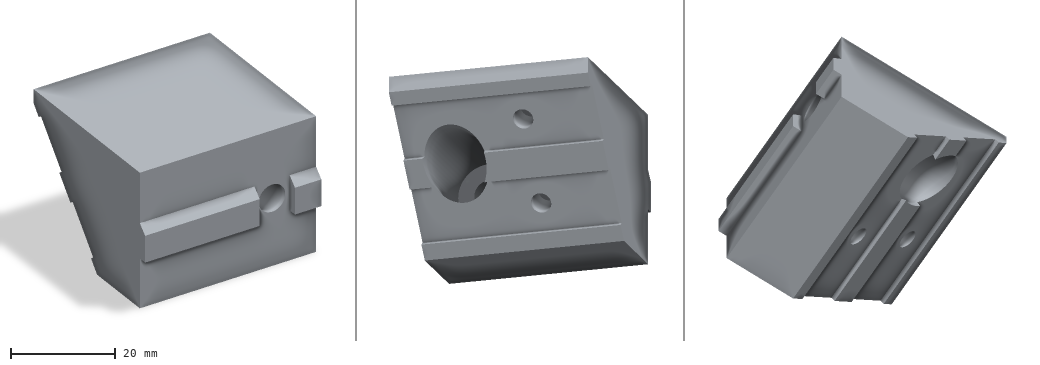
import cadquery as cq
import math

overall_length = 39.65
width = 40.0
height = 30.0
back_tongue_depth = 1.9
back_x = overall_length - back_tongue_depth

slope_angle = math.radians(50)
front_lip_height = 3.1
slope_top_z = height - front_lip_height
slope_length = slope_top_z / math.sin(slope_angle)

first_channel_start = 2.8
channel_pitch = 17.5
channel_width = 11.45
channel_depth = 0.95
first_channel_center = first_channel_start + channel_width / 2
channel_centers = [first_channel_center, first_channel_center + channel_pitch]

tongue_bottom_z = 11.05
tongue_flat_height = 5.9
tongue_gap = 8.0

bolt_y = 10.0
bolt_z = height / 2
bolt_diameter = 6.0
head_diameter = 12.5
head_floor_x = 31.75

pin_hole_y = -5.0
pin_hole_diameter = 4.0
pin_hole_depth = 6.0


def slope_point(along, depth):
    """XZ point at a distance down the slope and a depth below its surface."""
    x = along * math.cos(slope_angle) + depth * math.sin(slope_angle)
    z = slope_top_z - along * math.sin(slope_angle) + depth * math.cos(slope_angle)
    return (x, z)


def extrude_across(points, length, center_y=0.0):
    """Extrude an XZ outline symmetrically about a given Y."""
    plane = cq.Workplane("XZ", origin=(0, center_y, 0))
    return plane.polyline(points).close().extrude(length / 2, both=True)


def make_block():
    outline = [(0, height), (0, slope_top_z)]
    for center in channel_centers:
        start = center - channel_width / 2
        end = center + channel_width / 2
        outline += [
            slope_point(start, 0),
            slope_point(start, channel_depth),
            slope_point(end, channel_depth),
            slope_point(end, 0),
        ]
    outline += [slope_point(slope_length, 0), (back_x, 0), (back_x, height)]
    return extrude_across(outline, width)


def make_tongue():
    flat_top_z = tongue_bottom_z + tongue_flat_height
    outline = [
        (back_x, tongue_bottom_z),
        (overall_length, tongue_bottom_z),
        (overall_length, flat_top_z),
        (back_x, flat_top_z + back_tongue_depth),
    ]
    gap = extrude_across(outline, tongue_gap, bolt_y)
    return extrude_across(outline, width).cut(gap)


def make_bolt_hole():
    start = cq.Workplane("YZ").center(bolt_y, bolt_z)
    shank = start.circle(bolt_diameter / 2).extrude(overall_length)
    head = start.circle(head_diameter / 2).extrude(head_floor_x)
    return shank.union(head)


def make_pin_hole(along):
    x, z = slope_point(along, channel_depth)
    direction = cq.Vector(math.sin(slope_angle), 0, math.cos(slope_angle))
    return cq.Workplane(
        cq.Solid.makeCylinder(
            pin_hole_diameter / 2, pin_hole_depth, cq.Vector(x, pin_hole_y, z), direction
        )
    )


result = make_block().union(make_tongue()).cut(make_bolt_hole())
for channel_center in channel_centers:
    result = result.cut(make_pin_hole(channel_center))